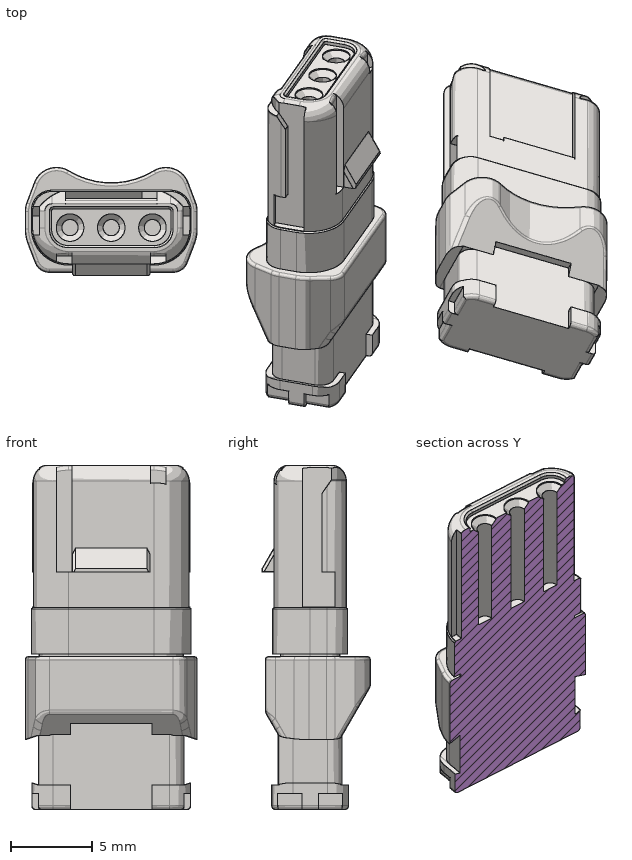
import cadquery as cq
import math


total_height = 21.23
foot_top = 1.53
grip_underside = 4.58
window_top = 5.33
grip_top = 9.44
collar_bottom = 9.59
collar_top = 12.5
slot_bottom = 14.66

collar_half_x = 4.93
collar_half_y = 2.31
body_inset = 0.08
body_front = body_inset - collar_half_y
body_back = collar_half_y - body_inset
neck_inset = 0.48
rear_half_x = 4.5
rear_half_y = 1.97
foot_step = 0.4
window_half_x = 2.5

front_corner_radius = 2.3
back_corner_radius = 1.28
rear_corner_radius = 0.9

slant_angle = math.radians(30)
slant_slope = 1 / math.tan(slant_angle)
reach = 20.0
top_clear = 2 * reach
tolerance = 0.01


def block(x0, x1, y0, y1, z0, z1):
    """Box between two opposite corners."""
    return cq.Workplane("XY").box(x1 - x0, y1 - y0, z1 - z0, centered=False).translate((x0, y0, z0))


def rounded_block(half_x, half_y, front_radius, back_radius, z0, z1):
    """Upright block whose front (-Y) and back (+Y) corners have their own radii."""
    return (
        block(-half_x, half_x, -half_y, half_y, z0, z1)
        .edges("|Z and <Y").fillet(front_radius)
        .edges("|Z and >Y").fillet(back_radius)
    )


def plug_block(inset, z0, z1):
    """Block with the collar outline moved inwards by `inset`."""
    return rounded_block(
        collar_half_x - inset,
        collar_half_y - inset,
        front_corner_radius - inset,
        back_corner_radius - inset,
        z0,
        z1,
    )


def on_both_sides(solid):
    """The solid together with its mirror image across the plane X = 0."""
    return solid.union(solid.mirror("YZ"))


def prism_along_x(points, x0, x1):
    """Extrude a (Y, Z) polygon from x0 to x1."""
    return cq.Workplane("YZ").polyline(points).close().extrude(x1 - x0).translate((x0, 0, 0))


grip_half_x = 5.3
grip_front = -2.76
grip_back = 3.71
grip_waist = 2.76
grip_side_front = -0.55
grip_side_back = 1.28
grip_flank_angle = math.radians(21)
grip_front_radius = 0.95
grip_side_front_radius = 2.5
grip_side_back_radius = 1.5
lobe_radius = 1.46
lobe_x = 3.37
waist_turn = math.radians(30)
grip_top_rounding = 0.2
front_slant_rounding = 0.5
back_slant_rounding = 0.3
grip_front_slant_z = 6.0
grip_back_slant_z = 7.6
underside_slope = math.tan(math.radians(18))
grip_lowest = grip_underside - (grip_half_x - rear_half_x) * underside_slope


def grip_outline():
    """Closed outline with two back lobes, a concave waist between them and slanted flanks."""
    lobe_y = grip_back - lobe_radius
    flank_tan = math.tan(grip_flank_angle)
    front_x = grip_half_x - (grip_side_front - grip_front) * flank_tan
    lobe_flank = (
        lobe_x + lobe_radius * math.cos(grip_flank_angle),
        lobe_y + lobe_radius * math.sin(grip_flank_angle),
    )
    lobe_inner = (
        lobe_x - lobe_radius * math.sin(waist_turn),
        lobe_y + lobe_radius * math.cos(waist_turn),
    )
    return (
        cq.Workplane("XY")
        .moveTo(-front_x, grip_front)
        .lineTo(front_x, grip_front)
        .lineTo(grip_half_x, grip_side_front)
        .lineTo(grip_half_x, grip_side_back)
        .lineTo(*lobe_flank)
        .threePointArc((lobe_x, grip_back), lobe_inner)
        .threePointArc((0, grip_waist), (-lobe_inner[0], lobe_inner[1]))
        .threePointArc((-lobe_x, grip_back), (-lobe_flank[0], lobe_flank[1]))
        .lineTo(-grip_half_x, grip_side_back)
        .lineTo(-grip_half_x, grip_side_front)
        .close()
    )


def round_upright_edges(solid, y, radius):
    """Round the upright edges that stand at the given Y."""
    edges = [edge for edge in solid.edges("|Z").vals() if abs(edge.Center().y - y) < tolerance]
    return solid.newObject(edges).fillet(radius)


def slant_edges(grip, outward):
    """Edges around the slanted lower face on one side, without the one on the underside."""
    slants = [
        face
        for face in grip.faces("%PLANE").vals()
        if face.normalAt().z < -tolerance and face.normalAt().y * outward > tolerance
    ]
    return [edge for edge in slants[0].Edges() if edge.Center().z > grip_lowest + tolerance]


def make_grip():
    grip = grip_outline().extrude(grip_top - grip_lowest).translate((0, 0, grip_lowest))
    grip = round_upright_edges(grip, grip_front, grip_front_radius)
    grip = round_upright_edges(grip, grip_side_front, grip_side_front_radius)
    grip = round_upright_edges(grip, grip_side_back, grip_side_back_radius)
    grip = grip.faces(">Z").edges().fillet(grip_top_rounding)
    for y, z, outward, rounding in (
        (grip_front, grip_front_slant_z, -1, front_slant_rounding),
        (grip_back, grip_back_slant_z, 1, back_slant_rounding),
    ):
        inner_y = y - outward * z / slant_slope
        triangle = [(inner_y, 0), (y + outward, z + slant_slope), (y + outward, 0)]
        grip = grip.cut(prism_along_x(triangle, -reach, reach))
        grip = grip.newObject(slant_edges(grip, outward)).fillet(rounding)
    underside = (
        cq.Workplane("XZ")
        .moveTo(-grip_half_x, grip_lowest)
        .lineTo(-rear_half_x, grip_underside)
        .lineTo(rear_half_x, grip_underside)
        .lineTo(grip_half_x, grip_lowest)
        .close()
        .extrude(reach, both=True)
    )
    grip = grip.cut(underside)
    return grip.cut(block(-window_half_x, window_half_x, -reach, reach, 0, window_top))


foot_rounding = 0.25
foot_notch_top = 1.0
foot_notch_y = 0.5


def make_foot():
    half_x = rear_half_x + foot_step
    half_y = rear_half_y + foot_step
    radius = rear_corner_radius + foot_step
    end_top = foot_top + foot_step * underside_slope
    foot = rounded_block(half_x, half_y, radius, radius, 0, end_top)
    foot = foot.faces("<Z").edges().fillet(foot_rounding)
    top_hollow = (
        cq.Workplane("XZ")
        .moveTo(-half_x, end_top)
        .lineTo(-rear_half_x, foot_top)
        .lineTo(rear_half_x, foot_top)
        .lineTo(half_x, end_top)
        .close()
        .extrude(reach, both=True)
    )
    foot = foot.cut(top_hollow)
    foot = foot.cut(block(-window_half_x, window_half_x, -reach, reach, 0, reach))
    for y0, y1 in ((-reach, -foot_notch_y), (foot_notch_y, reach)):
        notch = block(rear_half_x, reach, y0, y1, 0, foot_notch_top)
        foot = foot.cut(on_both_sides(notch))
    return foot


def make_notch_roundings():
    """Cutters that round the lower edge of the rear body inside the foot notches."""
    cutter = (
        cq.Workplane("XZ")
        .moveTo(rear_half_x - foot_rounding, 0)
        .radiusArc((rear_half_x, foot_rounding), -foot_rounding)
        .lineTo(rear_half_x, 0)
        .close()
        .extrude(-(rear_half_y - foot_notch_y))
        .translate((0, foot_notch_y, 0))
    )
    cutters = on_both_sides(cutter)
    return cutters.union(cutters.mirror("XZ"))


def make_rear_body():
    return rounded_block(
        rear_half_x, rear_half_y, rear_corner_radius, rear_corner_radius, 0, grip_top
    )


nose_rounding = 1.0
nose_trim = 0.03
groove_depth = 0.44
side_groove_front = -0.46
side_groove_back = 0.73
side_groove_wide_back = 1.52
key_lead_in_bottom = 19.5
key_lead_in_top = 20.5
key_lead_in_back = 1.43
back_channel_half_x = 2.83
back_plateau_x = 1.9
slot_inner_x = 2.43
slot_outer_x = 3.37
slot_floor_y = -1.76
short_slot_z = 20.15
collar_chamfer = 0.12
ledge_z = 20.33
ledge_inner_x = 3.0
ledge_front = 1.0
ledge_wall_x = 2.0
ledge_wall_y = -0.7
ledge_wall_radius = 3.14
back_lip_radius = 0.33
slot_lip_radius = 0.28


def make_plug_body():
    body = plug_block(body_inset, collar_bottom, total_height + nose_trim)
    body = body.faces(">Z").edges().fillet(nose_rounding)
    return body.cut(block(-reach, reach, -reach, reach, total_height, top_clear))


def make_collar():
    collar = plug_block(0, collar_bottom, collar_top)
    return collar.faces(">Z").edges().chamfer(collar_chamfer)


def make_side_grooves():
    floor_x = collar_half_x - body_inset - groove_depth
    groove = (
        cq.Workplane("YZ")
        .polyline(
            [
                (side_groove_front, collar_top),
                (side_groove_wide_back, collar_top),
                (side_groove_wide_back, slot_bottom),
                (side_groove_back, slot_bottom),
                (side_groove_back, key_lead_in_bottom),
                (key_lead_in_back, key_lead_in_top),
                (key_lead_in_back, top_clear),
                (side_groove_front, top_clear),
            ]
        )
        .close()
        .extrude(reach)
        .translate((floor_x, 0, 0))
    )
    return on_both_sides(groove)


def make_back_channel():
    floor_y = body_back - groove_depth
    drop = groove_depth * math.tan(slant_angle)
    channel = (
        cq.Workplane("YZ")
        .moveTo(floor_y, slot_bottom)
        .lineTo(floor_y, total_height - back_lip_radius)
        .radiusArc((floor_y - back_lip_radius, total_height), -back_lip_radius)
        .lineTo(reach, total_height)
        .lineTo(reach, slot_bottom)
        .close()
        .extrude(back_channel_half_x, both=True)
    )
    ramp = prism_along_x(
        [(floor_y, slot_bottom), (body_back, slot_bottom + drop), (body_back, slot_bottom)],
        -back_channel_half_x,
        back_plateau_x,
    )
    return channel.cut(ramp)


def make_corner_ledges():
    ledge = block(-reach, -ledge_inner_x, ledge_front, reach, ledge_z, top_clear)
    wall = (
        cq.Workplane("XY")
        .center(-ledge_wall_x, ledge_wall_y)
        .circle(ledge_wall_radius)
        .extrude(top_clear)
    )
    return on_both_sides(ledge.cut(wall))


def make_front_slots():
    drop = (slot_floor_y - body_front) * math.tan(slant_angle)
    long_slot = block(-slot_outer_x, -slot_inner_x, -reach, slot_floor_y, slot_bottom, top_clear)
    short_slot = prism_along_x(
        [
            (body_front, short_slot_z),
            (slot_floor_y, short_slot_z - drop),
            (slot_floor_y, top_clear),
            (body_front, top_clear),
        ],
        slot_inner_x,
        slot_outer_x,
    )
    return long_slot.union(short_slot)


latch_half_x = 2.4
latch_tip_y = -2.96
latch_slope_top = 16.13
latch_end_chamfer = 0.2


def make_latch():
    tip_z = latch_slope_top - (body_front - latch_tip_y) * slant_slope
    latch = prism_along_x(
        [
            (0, slot_bottom),
            (latch_tip_y, slot_bottom),
            (latch_tip_y, tip_z),
            (body_front, latch_slope_top),
            (0, latch_slope_top),
        ],
        -latch_half_x,
        latch_half_x,
    )
    slope = latch.faces(cq.selectors.DirectionNthSelector(cq.Vector(0, -slant_slope, 1), -1))
    slope_ends = [edge for edge in slope.edges().vals() if abs(edge.Center().x) > latch_half_x - tolerance]
    return latch.newObject(slope_ends).chamfer(latch_end_chamfer)


pocket_half_x = 3.81
pocket_front = -1.23
pocket_back = 1.29
pocket_front_radius = 1.0
pocket_back_radius = 0.15
pocket_depth = 0.35
pocket_mouth_chamfer = 0.13
contact_pitch = 2.54
contact_radius = 0.5
countersink_radius = 0.85
countersink_lip = 0.08
contact_depth = 8.0


def make_pocket():
    """Straight-walled pocket whose mouth widens at 45 degrees."""
    floor_z = total_height - pocket_depth
    inset = pocket_mouth_chamfer
    pocket = block(
        inset - pocket_half_x,
        pocket_half_x - inset,
        pocket_front + inset,
        pocket_back - inset,
        floor_z,
        total_height,
    )
    pocket = pocket.edges("|Z and <Y").fillet(pocket_front_radius)
    pocket = pocket.edges("|Z and >Y").fillet(pocket_back_radius)
    mouth = (
        pocket.faces("<Z")
        .wires()
        .toPending()
        .extrude(inset, taper=-45, combine=False)
        .translate((0, 0, pocket_depth - inset))
    )
    return pocket.union(mouth)


def make_contact_hole():
    """Blind round hole with a countersink that starts below a short straight lip."""
    floor_z = total_height - pocket_depth
    cone_top = floor_z - countersink_lip
    cone_bottom = cone_top - (countersink_radius - contact_radius)
    return (
        cq.Workplane("XZ")
        .polyline(
            [
                (0, floor_z),
                (countersink_radius, floor_z),
                (countersink_radius, cone_top),
                (contact_radius, cone_bottom),
                (contact_radius, floor_z - contact_depth),
                (0, floor_z - contact_depth),
            ]
        )
        .close()
        .revolve(360, (0, 0, 0), (0, 1, 0))
    )


def round_slot_lips(plug):
    """Round the upper edges of the inner walls of the front slots, where they meet the nose."""
    nose_start = total_height - nose_rounding
    lips = [
        edge
        for edge in plug.edges().vals()
        if abs(edge.startPoint().y - slot_floor_y) < tolerance
        and abs(edge.endPoint().y - slot_floor_y) < tolerance
        and slot_inner_x - tolerance < abs(edge.Center().x) < slot_outer_x - tolerance
        and abs(edge.startPoint().x - edge.endPoint().x) > tolerance
        and edge.Center().z > nose_start
    ]
    return plug.newObject(lips).fillet(slot_lip_radius)


def make_plug():
    plug = make_plug_body()
    for cutter in (make_side_grooves(), make_back_channel(), make_corner_ledges(), make_front_slots()):
        plug = plug.cut(cutter)
    plug = round_slot_lips(plug)
    plug = plug.union(make_latch()).cut(make_pocket())
    for position in (-1, 0, 1):
        plug = plug.cut(make_contact_hole().translate((position * contact_pitch, 0, 0)))
    return plug


neck = plug_block(neck_inset, grip_top, collar_bottom)
result = make_rear_body()
for piece in (make_grip(), make_foot(), neck, make_collar(), make_plug()):
    result = result.union(piece)
result = result.cut(make_notch_roundings())